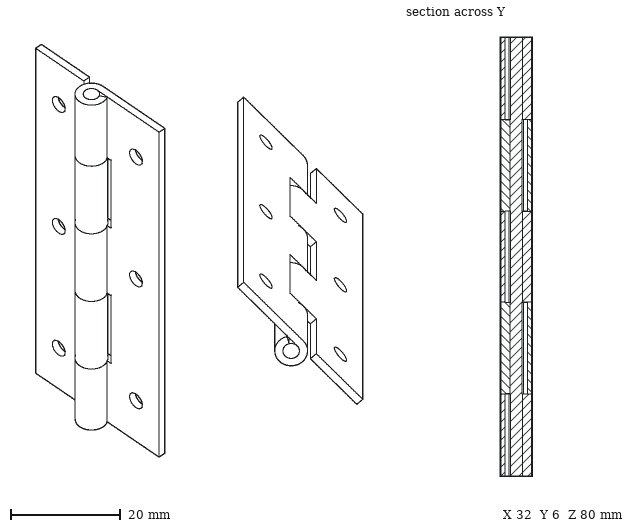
import cadquery as cq
import math

height = 80.0
width = 32.0
barrel_diameter = 6.0
end_knuckle_height = 15.0
leaf_clearance = 0.5
knuckle_count = 5
curl_end_angle = 28.0
hole_diameter = 3.3
hole_offset = 10.0
hole_end_margin = 10.0
holes_per_leaf = 3

barrel_radius = barrel_diameter / 2
thickness = barrel_radius / 2
pin_radius = barrel_radius - thickness
half_width = width / 2
notch_edge = barrel_radius + leaf_clearance
middle_knuckle_height = (height - 2 * end_knuckle_height) / (knuckle_count - 2)
hole_pitch = (height - 2 * hole_end_margin) / (holes_per_leaf - 1)


def knuckle_span(index):
    """Bottom and top Z of a knuckle, counted from the bottom."""
    bottom = 0.0 if index == 0 else end_knuckle_height + (index - 1) * middle_knuckle_height
    is_end = index in (0, knuckle_count - 1)
    return bottom, bottom + (end_knuckle_height if is_end else middle_knuckle_height)


def polar(radius, degrees):
    """XY point at a radius and angle about the hinge axis."""
    angle = math.radians(degrees)
    return radius * math.cos(angle), radius * math.sin(angle)


def make_knuckle(index):
    """A strip running in from the leaf and curled around the pin."""
    bottom, top = knuckle_span(index)
    curl_middle_angle = (90 + 360 + curl_end_angle) / 2
    return (
        cq.Workplane("XY", origin=(0, 0, bottom))
        .moveTo(notch_edge, barrel_radius)
        .lineTo(0, barrel_radius)
        .threePointArc(polar(barrel_radius, curl_middle_angle), polar(barrel_radius, curl_end_angle))
        .lineTo(*polar(pin_radius, curl_end_angle))
        .threePointArc(polar(pin_radius, curl_middle_angle), (0, pin_radius))
        .lineTo(notch_edge, pin_radius)
        .close()
        .extrude(top - bottom)
    )


def make_screw_holes():
    hole_centres = [(hole_offset, hole_end_margin + i * hole_pitch) for i in range(holes_per_leaf)]
    return (
        cq.Workplane("XZ")
        .pushPoints(hole_centres)
        .circle(hole_diameter / 2)
        .extrude(-barrel_diameter)
    )


def make_leaf(knuckle_indices):
    """A flat leaf on the +X side with its screw holes and curled knuckles."""
    leaf = cq.Workplane("XY", origin=(notch_edge, pin_radius, 0)).box(
        half_width - notch_edge, thickness, height, centered=False
    )
    for index in knuckle_indices:
        leaf = leaf.union(make_knuckle(index))
    return leaf.cut(make_screw_holes())


right_leaf = make_leaf(range(0, knuckle_count, 2))
left_leaf = make_leaf(range(1, knuckle_count, 2)).mirror("YZ")
pin = cq.Workplane("XY").circle(pin_radius).extrude(height)

result = cq.Compound.makeCompound([right_leaf.solids().val(), left_leaf.solids().val(), pin.val()])